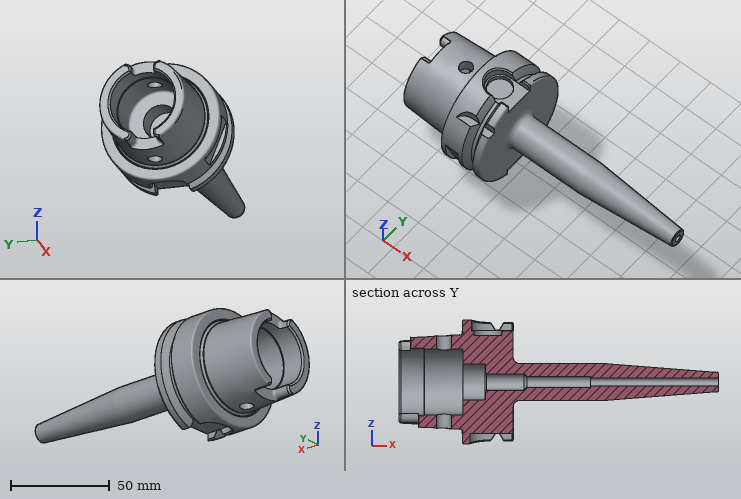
import cadquery as cq
import math

LENGTH = 162.0

TAPER_MOUTH_R = 22.5
TAPER_SLOPE = 0.05
MOUTH_FILLET = 1.0
MOUTH_CHAMFER = 1.0
RELIEF_WIDTH = 1.3
RELIEF_DEPTH = 0.2
RELIEF_FLARE = 0.6
FACE_RECESS_R = 25.8
FACE_RECESS_DEPTH = 0.5

FLANGE_R = 31.51
FLANGE_START = 32.0
FLANGE_END = 58.0
FLANGE_FRONT_FILLET = 1.0
FLANGE_BACK_FILLET = 1.1

GROOVE_CENTER = 49.9
GROOVE_MOUTH_WIDTH = 6.8
GROOVE_FLANK_WIDTH = 4.0
GROOVE_BOTTOM_WIDTH = 2.0
GROOVE_BOTTOM_R = 27.5
GROOVE_FLANK_R = 29.2
GROOVE_EDGE_CHAMFER = 0.5

NECK_R = 9.48
NECK_FILLET = 3.2
NOSE_START = 104.7
TIP_R = 5.0
TIP_CHAMFER = 0.5

BORE_MOUTH_R = 17.0
BORE_STEP_X = 12.6
BORE_R = 16.7
BORE_DEPTH = 32.4
BORE_FLOOR_FILLET = 1.0
TUBE_THREAD_R = 9.0
TUBE_THREAD_END = 43.7
SCREW_HOLE_R = 4.0
SCREW_HOLE_END = 64.8
SCREW_HOLE_CHAMFER = 0.6
PILOT_R = 2.8
PILOT_END = 97.2
TOOL_BORE_R = 2.0

DRIVE_HALF_WIDTH = 5.91
DRIVE_FLARE_R = 2.8
DRIVE_FLARE_Z = 17.8
DRIVE_DEPTH_TOP = 6.0
DRIVE_DEPTH_BOTTOM = 10.0
DRIVE_FLOOR_FILLET = 1.3

ACCESS_HOLE_R = 3.7
ACCESS_HOLE_X = 22.8

KEY_CENTER = 45.0
KEY_FLOOR_Z = 26.1
KEY_TOP_R = 8.02
KEY_BOTTOM_R = 8.99
KEY_RIM_CHAMFER = 0.8
CHIP_HOLE_R = 7.0
CHIP_HOLE_DEPTH = 2.5

NOTCH_WALL_Y = -20.1
NOTCH_FLOOR_Z = 19.8
NOTCH_END_R = 8.1
NOTCH_CENTER = 44.0
FLAT_CENTER = 39.4
FLAT_LENGTH = 8.5
FLAT_WIDTH = 24.6
FLAT_ANGLE = 21.5

HALF_TURN = ((0, 0, 0), (1, 0, 0), 180)
SELECT_MARGIN = 0.2


def ring_of_revolution(profile):
    """Turn a closed (x, radius) profile about the X axis."""
    return profile.close().revolve(360, (0, 0, 0), (1, 0, 0))


def taper_radius(x):
    return TAPER_MOUTH_R + TAPER_SLOPE * x


def round_corner_inset(radius):
    """Distance, along each side, from a square corner to the middle of its rounding arc."""
    return radius * (1 - math.sin(math.radians(45)))


def turned_body():
    mouth_bend = round_corner_inset(MOUTH_FILLET)
    relief_start = FLANGE_START - RELIEF_WIDTH
    relief_r = taper_radius(relief_start) - RELIEF_DEPTH
    flare_start = FLANGE_START - RELIEF_FLARE
    recess_x = FLANGE_START + FACE_RECESS_DEPTH
    front_bend = round_corner_inset(FLANGE_FRONT_FILLET)
    back_bend = round_corner_inset(FLANGE_BACK_FILLET)
    neck_start = FLANGE_END + NECK_FILLET
    neck_bend = round_corner_inset(NECK_FILLET)
    profile = (
        cq.Workplane("XY")
        .moveTo(0, 0)
        .lineTo(0, taper_radius(0) - MOUTH_FILLET)
        .threePointArc(
            (mouth_bend, taper_radius(0) - mouth_bend), (MOUTH_FILLET, taper_radius(MOUTH_FILLET))
        )
        .lineTo(relief_start, taper_radius(relief_start))
        .lineTo(relief_start + RELIEF_DEPTH, relief_r)
        .lineTo(flare_start, relief_r)
        .lineTo(recess_x, relief_r + recess_x - flare_start)
        .lineTo(recess_x, FACE_RECESS_R - FACE_RECESS_DEPTH)
        .lineTo(FLANGE_START, FACE_RECESS_R)
        .lineTo(FLANGE_START, FLANGE_R - FLANGE_FRONT_FILLET)
        .threePointArc(
            (FLANGE_START + front_bend, FLANGE_R - front_bend),
            (FLANGE_START + FLANGE_FRONT_FILLET, FLANGE_R),
        )
        .lineTo(FLANGE_END - FLANGE_BACK_FILLET, FLANGE_R)
        .threePointArc(
            (FLANGE_END - back_bend, FLANGE_R - back_bend),
            (FLANGE_END, FLANGE_R - FLANGE_BACK_FILLET),
        )
        .lineTo(FLANGE_END, NECK_R + NECK_FILLET)
        .threePointArc((FLANGE_END + neck_bend, NECK_R + neck_bend), (neck_start, NECK_R))
        .lineTo(NOSE_START, NECK_R)
        .lineTo(LENGTH - TIP_CHAMFER, TIP_R)
        .lineTo(LENGTH, TIP_R - TIP_CHAMFER)
        .lineTo(LENGTH, 0)
    )
    return ring_of_revolution(profile)


def gripper_groove():
    steps = (
        (GROOVE_MOUTH_WIDTH / 2, FLANGE_R),
        (GROOVE_FLANK_WIDTH / 2, GROOVE_FLANK_R),
        (GROOVE_BOTTOM_WIDTH / 2, GROOVE_BOTTOM_R),
    )
    mouth_edge = GROOVE_CENTER - GROOVE_MOUTH_WIDTH / 2
    left = [
        (mouth_edge - GROOVE_EDGE_CHAMFER, FLANGE_R),
        (mouth_edge, FLANGE_R - GROOVE_EDGE_CHAMFER),
    ]
    left += [(GROOVE_CENTER - half, r) for half, r in steps[1:]]
    right = [(GROOVE_CENTER + half, r) for half, r in reversed(steps)]
    return ring_of_revolution(cq.Workplane("XY").polyline(left + right))


def stepped_bore():
    step = BORE_MOUTH_R - BORE_R
    bend = round_corner_inset(BORE_FLOOR_FILLET)
    screw_tip = SCREW_HOLE_R - PILOT_R
    profile = (
        cq.Workplane("XY")
        .moveTo(0, 0)
        .lineTo(0, BORE_MOUTH_R + MOUTH_CHAMFER)
        .lineTo(MOUTH_CHAMFER, BORE_MOUTH_R)
        .lineTo(BORE_STEP_X, BORE_MOUTH_R)
        .lineTo(BORE_STEP_X + step, BORE_R)
        .lineTo(BORE_DEPTH - BORE_FLOOR_FILLET, BORE_R)
        .threePointArc((BORE_DEPTH - bend, BORE_R - bend), (BORE_DEPTH, BORE_R - BORE_FLOOR_FILLET))
        .lineTo(BORE_DEPTH, TUBE_THREAD_R)
        .lineTo(TUBE_THREAD_END, TUBE_THREAD_R)
        .lineTo(TUBE_THREAD_END, SCREW_HOLE_R + SCREW_HOLE_CHAMFER)
        .lineTo(TUBE_THREAD_END + SCREW_HOLE_CHAMFER, SCREW_HOLE_R)
        .lineTo(SCREW_HOLE_END - screw_tip, SCREW_HOLE_R)
        .lineTo(SCREW_HOLE_END, PILOT_R)
        .lineTo(PILOT_END, PILOT_R)
        .lineTo(PILOT_END, TOOL_BORE_R)
        .lineTo(LENGTH, TOOL_BORE_R)
        .lineTo(LENGTH, 0)
    )
    return ring_of_revolution(profile)


def drive_slot(depth):
    """Slot across the +Z wall of the taper mouth, with walls rounded outward."""
    flare_y = DRIVE_HALF_WIDTH + DRIVE_FLARE_R
    flare_top = DRIVE_FLARE_Z + DRIVE_FLARE_R
    bend = DRIVE_FLARE_R * math.sin(math.radians(45))
    bend_y = flare_y - bend
    bend_z = DRIVE_FLARE_Z + bend
    inner_z = BORE_R / 2
    top = FLANGE_R
    outline = (
        cq.Workplane("YZ", origin=(MOUTH_CHAMFER, 0, 0))
        .moveTo(-DRIVE_HALF_WIDTH, inner_z)
        .lineTo(-DRIVE_HALF_WIDTH, DRIVE_FLARE_Z)
        .threePointArc((-bend_y, bend_z), (-flare_y, flare_top))
        .lineTo(-flare_y, top)
        .lineTo(flare_y, top)
        .lineTo(flare_y, flare_top)
        .threePointArc((bend_y, bend_z), (DRIVE_HALF_WIDTH, DRIVE_FLARE_Z))
        .lineTo(DRIVE_HALF_WIDTH, inner_z)
        .close()
    )
    lip = outline.extrude(-MOUTH_CHAMFER, taper=-45)
    slot = outline.toPending().extrude(depth - MOUTH_CHAMFER)
    wall_corners = cq.selectors.BoxSelector(
        (depth - SELECT_MARGIN, -flare_y + SELECT_MARGIN, inner_z + SELECT_MARGIN),
        (depth + SELECT_MARGIN, flare_y - SELECT_MARGIN, top - SELECT_MARGIN),
    )
    return slot.edges(wall_corners).fillet(DRIVE_FLOOR_FILLET).union(lip)


def open_slot(center_x, center_y, radius, floor_z):
    """Slot with a round start, open at the nose side of the flange and upward from its floor."""
    height = FLANGE_R
    run = FLANGE_END - center_x
    floor = cq.Workplane("XY", origin=(center_x, center_y, floor_z))
    straight = floor.rect(run, 2 * radius).extrude(height).translate((run / 2, 0, 0))
    return floor.circle(radius).extrude(height).union(straight)


def cut_keyway(solid, radius):
    """Cut a +Z keyway and chamfer the round part of its rim."""
    solid = solid.cut(open_slot(KEY_CENTER, 0, radius, KEY_FLOOR_Z))
    round_rim = cq.selectors.BoxSelector(
        (KEY_CENTER - radius - SELECT_MARGIN, -radius, KEY_FLOOR_Z + SELECT_MARGIN),
        (KEY_CENTER + SELECT_MARGIN, radius, FLANGE_R + SELECT_MARGIN),
    )
    return solid.edges("not |Z").edges(round_rim).chamfer(KEY_RIM_CHAMFER)


body = cut_keyway(turned_body(), KEY_TOP_R)
body = cut_keyway(body.rotate(*HALF_TURN), KEY_BOTTOM_R).rotate(*HALF_TURN)
body = body.cut(gripper_groove())

body = body.cut(
    cq.Workplane("XY", origin=(KEY_CENTER, 0, KEY_FLOOR_Z - CHIP_HOLE_DEPTH))
    .circle(CHIP_HOLE_R)
    .extrude(FLANGE_R)
)

body = body.cut(
    open_slot(NOTCH_CENTER, NOTCH_WALL_Y - NOTCH_END_R, NOTCH_END_R, NOTCH_FLOOR_Z)
)

flat_distance = math.sqrt(FLANGE_R**2 - (FLAT_WIDTH / 2) ** 2)
body = body.cut(
    cq.Workplane("XY")
    .box(FLAT_LENGTH, FLANGE_R, FLAT_WIDTH)
    .translate((FLAT_CENTER, -flat_distance - FLANGE_R / 2, 0))
    .rotate((0, 0, 0), (1, 0, 0), FLAT_ANGLE)
)

body = body.cut(stepped_bore())
body = body.cut(drive_slot(DRIVE_DEPTH_TOP))
body = body.cut(drive_slot(DRIVE_DEPTH_BOTTOM).rotate(*HALF_TURN))
body = body.cut(
    cq.Workplane("XY", origin=(ACCESS_HOLE_X, 0, -FLANGE_R))
    .circle(ACCESS_HOLE_R)
    .extrude(2 * FLANGE_R)
)

result = body